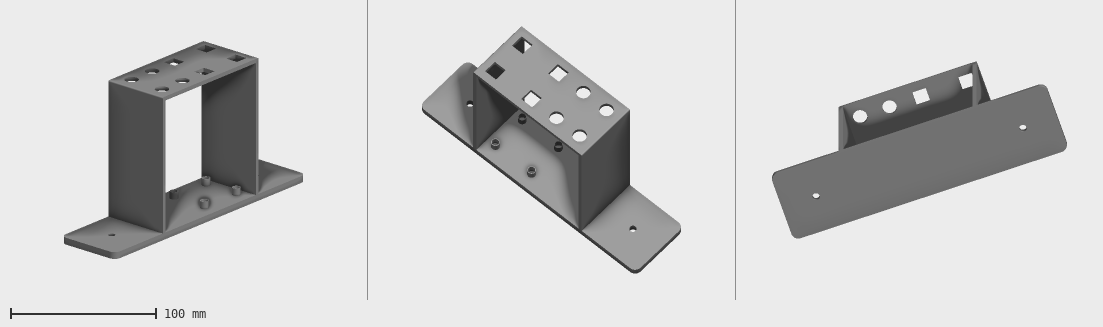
import cadquery as cq

width = 49.5
base_length = 199.5
base_thickness = 5.0
base_corner_radius = 5.0
mount_hole_diameter = 5.0
mount_hole_offset = 75.0

total_height = 105.0
frame_length = 100.1
wall_thickness = 3.0
frame_edge_radius = 1.0
frame_height = total_height - base_thickness

column_offset = 13.8
columns = (-column_offset, column_offset)
square_side = 10
square_rows = (6, 39.3)
round_hole_diameter = 10
round_hole_rows = (-38.3, -17.0)

post_outer_diameter = 6
post_inner_diameter = 5.0
post_height = 5.2


def grid(rows):
    """Points at every crossing of the two columns with the given rows."""
    return [(x, y) for x in columns for y in rows]


def make_base():
    plate = cq.Workplane("XY").box(width, base_length, base_thickness, centered=(True, True, False))
    plate = plate.edges("|Z").fillet(base_corner_radius)
    holes = (
        cq.Workplane("XY")
        .pushPoints([(0, -mount_hole_offset), (0, mount_hole_offset)])
        .circle(mount_hole_diameter / 2)
        .extrude(base_thickness)
    )
    return plate.cut(holes)


def make_frame():
    base_top = cq.Workplane("XY").workplane(offset=base_thickness)
    outer = base_top.box(width, frame_length, frame_height, centered=(True, True, False))
    outer = outer.edges("|X and >Z").fillet(frame_edge_radius)
    inner = base_top.box(
        width,
        frame_length - 2 * wall_thickness,
        frame_height - wall_thickness,
        centered=(True, True, False),
    )
    return outer.cut(inner)


def make_roof_openings():
    roof_bottom = cq.Workplane("XY").workplane(offset=total_height - wall_thickness)
    squares = roof_bottom.pushPoints(grid(square_rows)).rect(square_side, square_side).extrude(wall_thickness)
    rounds = roof_bottom.pushPoints(grid(round_hole_rows)).circle(round_hole_diameter / 2).extrude(wall_thickness)
    return squares.union(rounds)


def make_posts():
    return (
        cq.Workplane("XY")
        .workplane(offset=base_thickness)
        .pushPoints(grid(square_rows))
        .circle(post_outer_diameter / 2)
        .circle(post_inner_diameter / 2)
        .extrude(post_height)
    )


frame = make_frame().cut(make_roof_openings())
result = make_base().union(frame).union(make_posts())